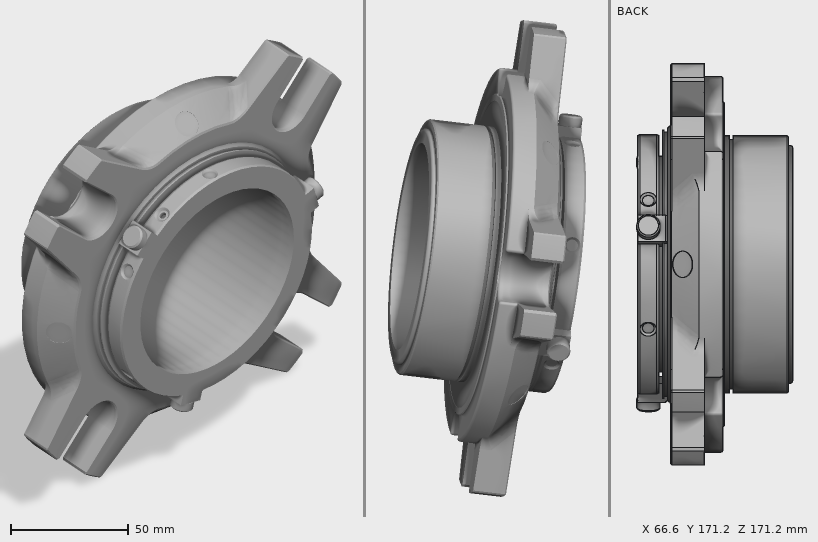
import cadquery as cq
import math

NOSE_LENGTH = 1.8
GROOVE_START = 25.5
GROOVE_END = 27.1
RAISED_FACE_X = 29.2
GLAND_FACE_X = 29.4
FLANGE_FRONT_X = 29.8
EAR_FRONT_X = 37.75
CONE_START_X = 40.0
FLANGE_BACK_X = 52.1
COLLAR_END_X = 53.5
LIP_START_X = 54.9
LIP_END_X = 55.6
RING_START_X = 57.1
RING_END_X = 66.2
OVERALL_LENGTH = 66.59
RING_MID_X = (RING_START_X + RING_END_X) / 2

BORE_RADIUS = 88.9 / 2
SHAFT_SLEEVE_RADIUS = 92.05 / 2
NOSE_RADIUS = 101.58 / 2
GROOVE_RADIUS = 106.55 / 2
GLAND_RADIUS = 109.86 / 2
RAISED_FACE_RADIUS = 69.2
GLAND_FACE_RADIUS = 132.0 / 2
FLANGE_RADIUS = 80.3
CONE_END_RADIUS = 69.6
COLLAR_RADIUS = 59.3
HUB_RADIUS = 113.03 / 2
LIP_RADIUS = 114.55 / 2
RING_RADIUS = 55.4

CUT_OVERRUN = 2.0

EDGE_MARGIN = 0.1

NOSE_FILLET = 1.3
GLAND_CHAMFER = 0.6
RAISED_FACE_CHAMFER = 0.4
COLLAR_CHAMFER = 1.2
RING_CHAMFER_LENGTH = 1.0
RING_CHAMFER_HEIGHT = 0.5
FLANGE_EDGE_FILLET = 1.1

SLOT_ANGLES = [45, 135, 225, 315]
SLOT_HALF_WIDTH = 10.6
SLOT_MOUTH_FILLET = 1.2
SLOT_CENTER_RADIUS = 78.9
EAR_TIP_RADIUS = 101.53
EAR_TIP_HALF_WIDTH = 22.1
EAR_TAPER = 9.0
EAR_ROOT_RADIUS = 62.0
EAR_TIP_INNER_CHAMFER = 1.2
EAR_TIP_OUTER_CHAMFER = 0.6
EAR_BACK_CHAMFER = 0.6
EAR_ROOT_FILLET = 7.2

PLUG_ANGLES = [0, 90, 180, 270]
PLUG_DIAMETER = 11.25
PLUG_X = 47.1
PLUG_RECESS = 0.3

SCREW_ANGLES = [30, 90, 150, 210, 270, 330]
PIN_SCREW_ANGLE = 120
SCREW_RECESS_DIAMETER = 5.0
SCREW_MOUTH_DIAMETER = 7.0
SCREW_RECESS_DEPTH = 1.0
PIN_SOCKET_DIAMETER = 2.98
PIN_SOCKET_DEPTH = 3.0

CLIP_ANGLES = [15, 135, 255]
CLIP_WIDTH = 11.6
CLIP_INNER_RADIUS = 56.0
CLIP_OUTER_RADIUS = 59.5
CLIP_FOOT_RADIUS = 54.5
CLIP_START_X = COLLAR_END_X
CLIP_CHAMFER = 0.9
CLIP_LEG_INNER_RADIUS = 51.0
HEAD_DIAMETER = 10.0
HEAD_TOP_RADIUS = 64.0
HEAD_CHAMFER = 0.7
HEAD_X = OVERALL_LENGTH - HEAD_DIAMETER / 2


def revolve_profile(points):
    """Turn a closed (x, radius) outline about the X axis."""
    return cq.Workplane("XY").polyline(points).close().revolve(360, (0, 0, 0), (1, 0, 0))


def at_angle(shape, angle):
    """Swing a feature built on the +Y side about X; angle runs from +Y towards +Z."""
    return shape.rotate((0, 0, 0), (1, 0, 0), angle)


def radial_cylinder(x, diameter, start_radius, end_radius):
    """Cylinder at station x standing out along +Y."""
    return (
        cq.Workplane("XZ", origin=(x, start_radius, 0))
        .circle(diameter / 2)
        .extrude(start_radius - end_radius)
    )


def make_gland():
    """Nose, sealing sleeve, groove and the raised ring around the slightly sunken gland face."""
    nose = revolve_profile(
        [
            (0, BORE_RADIUS),
            (0, NOSE_RADIUS),
            (NOSE_LENGTH, NOSE_RADIUS),
            (NOSE_LENGTH, BORE_RADIUS),
        ]
    )
    nose = nose.faces("<X").edges(cq.selectors.RadiusNthSelector(-1)).fillet(NOSE_FILLET)
    sleeve = revolve_profile(
        [
            (NOSE_LENGTH, BORE_RADIUS),
            (NOSE_LENGTH, GLAND_RADIUS - GLAND_CHAMFER),
            (NOSE_LENGTH + GLAND_CHAMFER, GLAND_RADIUS),
            (GROOVE_START, GLAND_RADIUS),
            (GROOVE_START, GROOVE_RADIUS),
            (GROOVE_END, GROOVE_RADIUS),
            (GROOVE_END, GLAND_RADIUS),
            (GLAND_FACE_X, GLAND_RADIUS),
            (GLAND_FACE_X, GLAND_FACE_RADIUS),
            (RAISED_FACE_X, GLAND_FACE_RADIUS),
            (RAISED_FACE_X, RAISED_FACE_RADIUS - RAISED_FACE_CHAMFER),
            (RAISED_FACE_X + RAISED_FACE_CHAMFER, RAISED_FACE_RADIUS),
            (FLANGE_FRONT_X, RAISED_FACE_RADIUS),
            (FLANGE_FRONT_X, BORE_RADIUS),
        ]
    )
    return nose.union(cut_slots(sleeve))


def make_hub():
    """Collar, lipped hub and the shaft sleeve behind the flange."""
    return revolve_profile(
        [
            (FLANGE_BACK_X, BORE_RADIUS),
            (FLANGE_BACK_X, COLLAR_RADIUS),
            (COLLAR_END_X, COLLAR_RADIUS - COLLAR_CHAMFER),
            (COLLAR_END_X, HUB_RADIUS),
            (LIP_START_X, HUB_RADIUS),
            (LIP_START_X, LIP_RADIUS),
            (LIP_END_X, LIP_RADIUS),
            (LIP_END_X, SHAFT_SLEEVE_RADIUS),
            (RING_END_X, SHAFT_SLEEVE_RADIUS),
            (RING_END_X, BORE_RADIUS),
        ]
    )


def make_cone_disc():
    """Rear disc of the flange, tapering from the rim to the back face."""
    return revolve_profile(
        [
            (EAR_FRONT_X, BORE_RADIUS),
            (EAR_FRONT_X, FLANGE_RADIUS),
            (CONE_START_X, FLANGE_RADIUS),
            (FLANGE_BACK_X, CONE_END_RADIUS),
            (FLANGE_BACK_X, BORE_RADIUS),
        ]
    )


def make_ear_pair():
    """One tapered pad along +Y; the slot later parts it into two ears."""
    taper_growth = (EAR_TIP_RADIUS - EAR_ROOT_RADIUS) * math.tan(math.radians(EAR_TAPER))
    root_half_width = EAR_TIP_HALF_WIDTH + taper_growth
    pad = (
        cq.Workplane("YZ", origin=(EAR_FRONT_X, 0, 0))
        .polyline(
            [
                (EAR_ROOT_RADIUS, -root_half_width),
                (EAR_TIP_RADIUS, -EAR_TIP_HALF_WIDTH),
                (EAR_TIP_RADIUS, EAR_TIP_HALF_WIDTH),
                (EAR_ROOT_RADIUS, root_half_width),
            ]
        )
        .close()
        .extrude(FLANGE_BACK_X - EAR_FRONT_X)
    )
    tip_cylinder = cq.Workplane("YZ").circle(EAR_TIP_RADIUS).extrude(FLANGE_BACK_X)
    return pad.intersect(tip_cylinder)


def make_slot():
    """Open-ended bolt slot along +Y with a round inner end."""
    start_x = RAISED_FACE_X - CUT_OVERRUN
    depth = FLANGE_BACK_X - start_x + CUT_OVERRUN
    straight = (
        cq.Workplane("XY", origin=(start_x, SLOT_CENTER_RADIUS, 0))
        .box(depth, EAR_TIP_RADIUS, 2 * SLOT_HALF_WIDTH, centered=(False, False, True))
    )
    round_end = (
        cq.Workplane("YZ", origin=(start_x, 0, 0))
        .center(SLOT_CENTER_RADIUS, 0)
        .circle(SLOT_HALF_WIDTH)
        .extrude(depth)
    )
    return straight.union(round_end)


def edge_radius(edge):
    center = edge.Center()
    return math.hypot(center.y, center.z)


def ear_root_edges(body):
    """Edges running along X where the ear flanks meet the flange rim and cone."""
    found = []
    for edge in body.edges().vals():
        box = edge.BoundingBox()
        behind_ear_front = box.xmin > EAR_FRONT_X - EDGE_MARGIN
        runs_along_x = box.xmax - box.xmin > EDGE_MARGIN
        on_disc = CONE_END_RADIUS < edge_radius(edge) < FLANGE_RADIUS + EDGE_MARGIN
        if behind_ear_front and runs_along_x and on_disc:
            found.append(edge)
    return found


def ear_tip_edges(body, outer):
    """Edges along X at the ear tips: the outer corners, or those at the slot mouth."""
    found = []
    for edge in body.edges("|X").vals():
        center = edge.Center()
        off_diagonal = abs(abs(center.y) - abs(center.z)) / math.sqrt(2)
        is_outer = off_diagonal > (SLOT_HALF_WIDTH + EAR_TIP_HALF_WIDTH) / 2
        if edge_radius(edge) > EAR_TIP_RADIUS - EAR_TIP_OUTER_CHAMFER and is_outer == outer:
            found.append(edge)
    return found


def ear_back_edges(body):
    """Edges of the back face around the ears and slots, without the cone's circle."""
    found = []
    for edge in body.faces(">X").edges().vals():
        is_cone_circle = edge.geomType() == "CIRCLE" and abs(edge.radius() - CONE_END_RADIUS) < EDGE_MARGIN
        if edge_radius(edge) > BORE_RADIUS and not is_cone_circle:
            found.append(edge)
    return found


def make_plug_recess():
    """Shallow round pocket sunk square to the cone at +Y."""
    slope = (FLANGE_RADIUS - CONE_END_RADIUS) / (FLANGE_BACK_X - CONE_START_X)
    surface_radius = FLANGE_RADIUS - slope * (PLUG_X - CONE_START_X)
    normal = cq.Vector(slope, 1, 0).normalized()
    floor = cq.Vector(PLUG_X, surface_radius, 0) - normal * PLUG_RECESS
    return cq.Workplane(cq.Plane(origin=floor, normal=normal)).circle(PLUG_DIAMETER / 2).extrude(CUT_OVERRUN)


def cut_slots(body):
    for angle in SLOT_ANGLES:
        body = body.cut(at_angle(make_slot(), angle))
    return body


def make_front_disc():
    """Slotted disc ahead of the ears, with rounded slot mouths and front edge."""
    disc = (
        cq.Workplane("YZ", origin=(FLANGE_FRONT_X, 0, 0))
        .circle(FLANGE_RADIUS)
        .circle(BORE_RADIUS)
        .extrude(EAR_FRONT_X - FLANGE_FRONT_X)
    )
    disc = cut_slots(disc)
    mouth_edges = [e for e in disc.edges("|X").vals() if edge_radius(e) > FLANGE_RADIUS - EDGE_MARGIN]
    disc = disc.newObject(mouth_edges).fillet(SLOT_MOUTH_FILLET)
    front_edges = [e for e in disc.faces("<X").edges().vals() if edge_radius(e) > BORE_RADIUS]
    return disc.newObject(front_edges).fillet(FLANGE_EDGE_FILLET)


def make_eared_disc():
    """Cone disc with the four slotted ear pairs and the plug recesses."""
    body = make_cone_disc()
    for angle in SLOT_ANGLES:
        body = body.union(at_angle(make_ear_pair(), angle))
    body = body.newObject(ear_root_edges(body)).fillet(EAR_ROOT_FILLET)
    body = cut_slots(body)
    body = body.newObject(ear_tip_edges(body, outer=False)).chamfer(EAR_TIP_INNER_CHAMFER)
    body = body.newObject(ear_tip_edges(body, outer=True)).chamfer(EAR_TIP_OUTER_CHAMFER)
    body = body.newObject(ear_back_edges(body)).chamfer(EAR_BACK_CHAMFER)
    for angle in PLUG_ANGLES:
        body = body.cut(at_angle(make_plug_recess(), angle))
    return body


def make_screw_recess():
    """Countersunk recess over a set screw in the ring at +Y."""
    bottom_radius = RING_RADIUS - SCREW_RECESS_DEPTH
    return (
        cq.Workplane("XZ", origin=(RING_MID_X, bottom_radius, 0))
        .circle(SCREW_RECESS_DIAMETER / 2)
        .workplane(offset=-SCREW_RECESS_DEPTH)
        .circle(SCREW_MOUTH_DIAMETER / 2)
        .loft()
    )


def make_drive_ring():
    ring = revolve_profile(
        [
            (RING_START_X, BORE_RADIUS),
            (RING_START_X, RING_RADIUS - RING_CHAMFER_HEIGHT),
            (RING_START_X + RING_CHAMFER_LENGTH, RING_RADIUS),
            (RING_END_X - RING_CHAMFER_LENGTH, RING_RADIUS),
            (RING_END_X, RING_RADIUS - RING_CHAMFER_HEIGHT),
            (RING_END_X, BORE_RADIUS),
        ]
    )
    for angle in SCREW_ANGLES + [PIN_SCREW_ANGLE]:
        ring = ring.cut(at_angle(make_screw_recess(), angle))
    socket = radial_cylinder(RING_MID_X, PIN_SOCKET_DIAMETER, RING_RADIUS - PIN_SOCKET_DEPTH, RING_RADIUS)
    return ring.cut(at_angle(socket, PIN_SCREW_ANGLE))


def make_clip():
    """Clip at +Y: a plate over the ring, a leg behind the lip and a round screw head."""
    bracket = (
        cq.Workplane("XY", origin=(0, 0, -CLIP_WIDTH / 2))
        .polyline(
            [
                (CLIP_START_X, CLIP_INNER_RADIUS),
                (CLIP_START_X, CLIP_OUTER_RADIUS - CLIP_CHAMFER),
                (CLIP_START_X + CLIP_CHAMFER, CLIP_OUTER_RADIUS),
                (RING_END_X, CLIP_OUTER_RADIUS),
                (RING_END_X, CLIP_FOOT_RADIUS),
                (RING_START_X, CLIP_FOOT_RADIUS),
                (RING_START_X, CLIP_LEG_INNER_RADIUS),
                (LIP_END_X, CLIP_LEG_INNER_RADIUS),
                (LIP_END_X, CLIP_INNER_RADIUS),
            ]
        )
        .close()
        .extrude(CLIP_WIDTH)
    )
    head = radial_cylinder(HEAD_X, HEAD_DIAMETER, CLIP_OUTER_RADIUS, HEAD_TOP_RADIUS)
    head = head.faces(">Y").chamfer(HEAD_CHAMFER)
    return bracket.union(head)


flange = make_front_disc().union(make_eared_disc())
result = make_gland().union(flange).union(make_hub()).union(make_drive_ring())
for clip_angle in CLIP_ANGLES:
    result = result.union(at_angle(make_clip(), clip_angle))